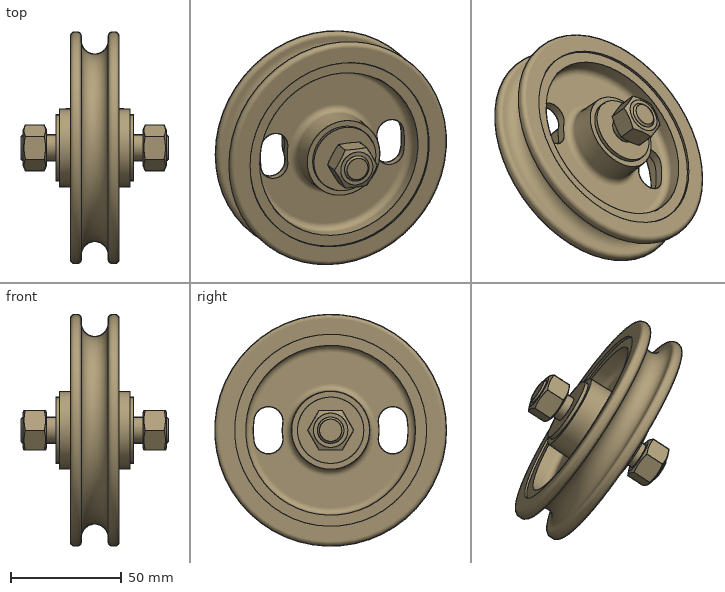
import cadquery as cq
import math


RIM_RADIUS = 52.5
RIM_HALF_WIDTH = 11.0
FLANGE_WIDTH = 4.9
RIM_FILLET = 2.0
GROOVE_RADIUS = RIM_HALF_WIDTH - FLANGE_WIDTH
GROOVE_BOTTOM_RADIUS = 42.5
STEP_RADIUS = 43.5
STEP_DEPTH = 1.0
WEB_THICKNESS = 4.0
RECESS_RADIUS = 38.4
HUB_RADIUS = 17.6
HUB_HALF_LENGTH = 16.0
WEB_FILLET = 3.0
DRAFT_ANGLE = 1.5

SLOT_PITCH_RADIUS = 28.5
SLOT_WIDTH = 13.0
SLOT_HALF_ANGLE = 8.3

BUSHING_RADIUS = 15.0
BUSHING_LENGTH = 17.6

AXLE_RADIUS = 6.0
AXLE_HALF_LENGTH = 33.5
AXLE_CHAMFER = 0.9
NUT_ACROSS_FLATS = 18.1
NUT_THICKNESS = 10.8
NUT_OUTER_FACE = AXLE_HALF_LENGTH - AXLE_CHAMFER
NUT_INNER_FACE = NUT_OUTER_FACE - NUT_THICKNESS
NUT_FACE_RADIUS = 7.8
NUT_CHAMFER_DEPTH = 1.2

SIDES = (-1, 1)


def revolve_about_x(profile):
    """Turn a closed (x, radius) profile once around the X axis."""
    return profile.revolve(360, (0, 0, 0), (1, 0, 0))


def to_side(body, side):
    """Keep a body built on the +X side, or mirror it to the -X side."""
    if side > 0:
        return body
    return body.mirror("YZ")


def polar_point(radius, angle):
    """Point in the YZ plane at an angle in degrees from +Y."""
    return radius * math.cos(math.radians(angle)), radius * math.sin(math.radians(angle))


def web_slot(side):
    """Cutter for one slot: two arcs about the axis, joined by round ends."""
    end_radius = SLOT_WIDTH / 2
    inner = SLOT_PITCH_RADIUS - end_radius
    outer = SLOT_PITCH_RADIUS + end_radius
    end_y, end_z = polar_point(SLOT_PITCH_RADIUS, SLOT_HALF_ANGLE)
    tip_y, tip_z = polar_point(end_radius, SLOT_HALF_ANGLE + 90)
    slot = (
        cq.Workplane("YZ")
        .moveTo(*polar_point(outer, -SLOT_HALF_ANGLE))
        .threePointArc((outer, 0), polar_point(outer, SLOT_HALF_ANGLE))
        .threePointArc((end_y + tip_y, end_z + tip_z), polar_point(inner, SLOT_HALF_ANGLE))
        .threePointArc((inner, 0), polar_point(inner, -SLOT_HALF_ANGLE))
        .threePointArc((end_y + tip_y, -end_z - tip_z), polar_point(outer, -SLOT_HALF_ANGLE))
        .close()
        .extrude(WEB_THICKNESS, both=True)
    )
    if side > 0:
        return slot
    return slot.mirror("XZ")


def circles_of(body, radii):
    """Circular edges of a body that have one of the given radii."""
    return body.edges("%CIRCLE").filter(
        lambda edge: any(math.isclose(edge.radius(), radius, abs_tol=0.0001) for radius in radii)
    )


def wheel():
    """Rim with rope groove, thin slotted web and hub."""
    web_face = WEB_THICKNESS / 2
    recess_face = RIM_HALF_WIDTH - STEP_DEPTH
    draft = math.tan(math.radians(DRAFT_ANGLE))
    recess_floor_radius = RECESS_RADIUS - draft * (recess_face - web_face)
    hub_root_radius = HUB_RADIUS + draft * (HUB_HALF_LENGTH - web_face)
    groove_centre_radius = GROOVE_BOTTOM_RADIUS + GROOVE_RADIUS

    profile = (
        cq.Workplane("XY")
        .moveTo(-HUB_HALF_LENGTH, BUSHING_RADIUS)
        .lineTo(HUB_HALF_LENGTH, BUSHING_RADIUS)
        .lineTo(HUB_HALF_LENGTH, HUB_RADIUS)
        .lineTo(web_face, hub_root_radius)
        .lineTo(web_face, recess_floor_radius)
        .lineTo(recess_face, RECESS_RADIUS)
        .lineTo(recess_face, STEP_RADIUS)
        .lineTo(RIM_HALF_WIDTH, STEP_RADIUS)
        .lineTo(RIM_HALF_WIDTH, RIM_RADIUS)
        .lineTo(GROOVE_RADIUS, RIM_RADIUS)
        .lineTo(GROOVE_RADIUS, groove_centre_radius)
        .threePointArc((0, GROOVE_BOTTOM_RADIUS), (-GROOVE_RADIUS, groove_centre_radius))
        .lineTo(-GROOVE_RADIUS, RIM_RADIUS)
        .lineTo(-RIM_HALF_WIDTH, RIM_RADIUS)
        .lineTo(-RIM_HALF_WIDTH, STEP_RADIUS)
        .lineTo(-recess_face, STEP_RADIUS)
        .lineTo(-recess_face, RECESS_RADIUS)
        .lineTo(-web_face, recess_floor_radius)
        .lineTo(-web_face, hub_root_radius)
        .lineTo(-HUB_HALF_LENGTH, HUB_RADIUS)
        .close()
    )
    body = revolve_about_x(profile)
    body = circles_of(body, [RIM_RADIUS]).fillet(RIM_FILLET)
    body = circles_of(body, [hub_root_radius, recess_floor_radius]).fillet(WEB_FILLET)
    for side in SIDES:
        body = body.cut(web_slot(side))
    return body


def bushing(side):
    """Plain sleeve from the middle plane to just outside the hub face."""
    sleeve = cq.Workplane("YZ").circle(BUSHING_RADIUS).circle(AXLE_RADIUS).extrude(BUSHING_LENGTH)
    return to_side(sleeve, side)


def axle():
    """Round bar through the whole assembly, chamfered at both ends."""
    bar = cq.Workplane("YZ").circle(AXLE_RADIUS).extrude(AXLE_HALF_LENGTH, both=True)
    return bar.faces("<X or >X").chamfer(AXLE_CHAMFER)


def nut(side):
    """Hexagon nut with corners along Y, chamfered conically at both faces."""
    corner_radius = NUT_ACROSS_FLATS / math.sqrt(3)
    hexagon = (
        cq.Workplane("YZ", origin=(NUT_INNER_FACE, 0, 0))
        .polygon(6, 2 * corner_radius)
        .circle(AXLE_RADIUS)
        .extrude(NUT_THICKNESS)
    )
    chamfered_blank = revolve_about_x(
        cq.Workplane("XY")
        .moveTo(NUT_INNER_FACE, 0)
        .lineTo(NUT_INNER_FACE, NUT_FACE_RADIUS)
        .lineTo(NUT_INNER_FACE + NUT_CHAMFER_DEPTH, corner_radius)
        .lineTo(NUT_OUTER_FACE - NUT_CHAMFER_DEPTH, corner_radius)
        .lineTo(NUT_OUTER_FACE, NUT_FACE_RADIUS)
        .lineTo(NUT_OUTER_FACE, 0)
        .close()
    )
    return to_side(hexagon.intersect(chamfered_blank), side)


bushings = [bushing(side).val() for side in SIDES]
nuts = [nut(side).val() for side in SIDES]

result = cq.Compound.makeCompound([wheel().val(), *bushings, axle().val(), *nuts])